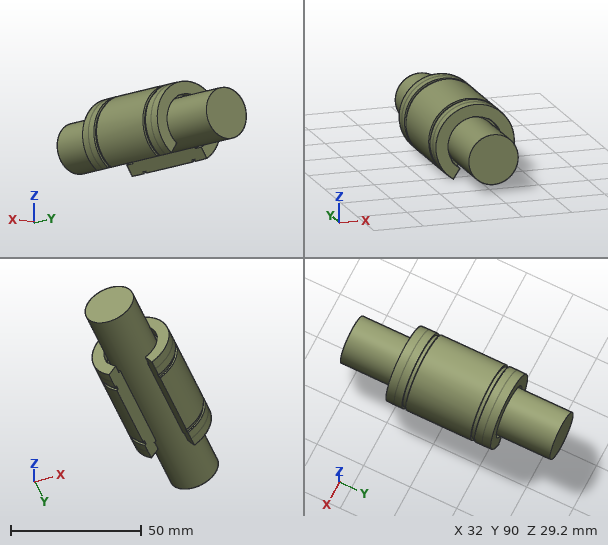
import cadquery as cq
import math

shaft_length = 90
shaft_diameter = 20.0

bushing_length = 45
bushing_diameter = 31.95
end_diameter = 31.8
taper_length = 3.6
opening_half_angle = 33.8

groove_diameter = 30.2
groove_inner_edge = 13.95
groove_width = 1.6

recess_diameter = 22.0
recess_depth = 3.6


def rod(diameter, length, middle=0):
    """Cylinder along Y, centred at Y = middle."""
    return (
        cq.Workplane("XZ", origin=(0, middle + length / 2, 0))
        .circle(diameter / 2)
        .extrude(length)
    )


def bushing_body():
    """Bushing blank, with both ends tapering slightly inwards."""
    half_length = bushing_length / 2
    taper_start = half_length - taper_length
    outer_radius = bushing_diameter / 2
    end_radius = end_diameter / 2
    half_section = [
        (0, -half_length),
        (end_radius, -half_length),
        (outer_radius, -taper_start),
        (outer_radius, taper_start),
        (end_radius, half_length),
        (0, half_length),
    ]
    return cq.Workplane("XY").polyline(half_section).close().revolve(360, (0, 0), (0, 1))


def bottom_opening():
    """Wedge with radial sides that opens the bushing downwards."""
    reach = bushing_diameter
    half_width = reach * math.tan(math.radians(opening_half_angle))
    return (
        cq.Workplane("XZ")
        .polyline([(0, 0), (half_width, -reach), (-half_width, -reach)])
        .close()
        .extrude(bushing_length / 2, both=True)
    )


bushing = bushing_body()
for side in (-1, 1):
    groove_middle = side * (groove_inner_edge + groove_width / 2)
    groove = rod(bushing_diameter, groove_width, groove_middle)
    groove = groove.cut(rod(groove_diameter, groove_width, groove_middle))
    recess_middle = side * (bushing_length - recess_depth) / 2
    recess = rod(recess_diameter, recess_depth, recess_middle)
    bushing = bushing.cut(groove).cut(recess)

bushing = bushing.cut(bottom_opening())

result = rod(shaft_diameter, shaft_length).union(bushing)